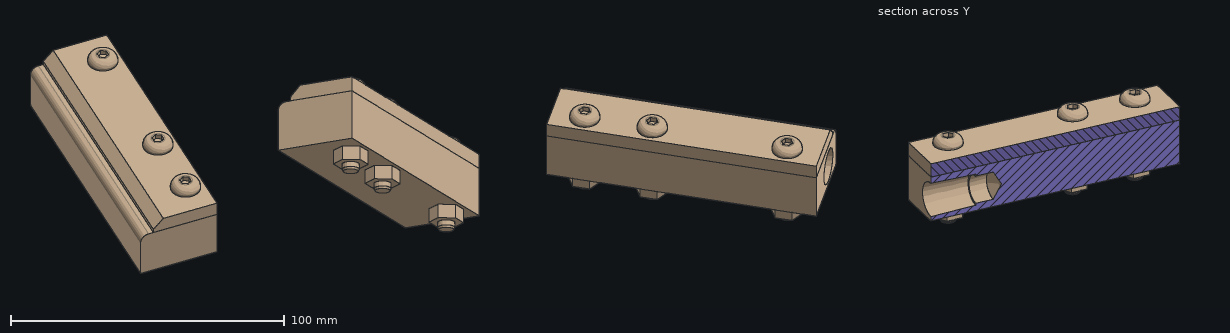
import cadquery as cq
import math

length = 101.6
depth = 30.5
block_height = 18.3
block_edge_radius = 3.1

cover_thickness = 5.5
cover_depth = 25.4
cover_chamfer = 4.0

port_y = 11.8
port_z = 8.7
port_mouth_diameter = 13.7
port_end_diameter = 12.7
port_taper_depth = 18.3
drill_diameter = 11.1
drill_depth = 25.4
drill_point_angle = 118.0

bolt_x_positions = (12.7, 63.5, 88.9)
bolt_to_back = 7.1
shank_diameter = 6.3
shank_protrusion = 7.9
shank_chamfer_height = 0.8
shank_chamfer_width = 0.4
head_diameter = 11.2
head_height = 3.4
head_rim_height = 0.6
head_flat_diameter = 5.1
head_bulge = 0.8
socket_width = 3.7
socket_depth = 1.8

nut_width = 11.1
nut_height = 5.2

cover_top = block_height + cover_thickness
bolt_y = depth - bolt_to_back


def hexagon_corner_diameter(width_across_flats):
    return width_across_flats / math.cos(math.pi / 6)


def make_bolt_holes():
    """Cylinders that match the bolt shanks, through the block and the cover."""
    return (
        cq.Workplane("XY")
        .pushPoints([(x, bolt_y) for x in bolt_x_positions])
        .circle(shank_diameter / 2)
        .extrude(cover_top)
    )


def make_port():
    """Tapered mouth, straight drilled bore and conical drill point, revolved about the port axis."""
    drill_radius = drill_diameter / 2
    point_depth = drill_depth + drill_radius / math.tan(math.radians(drill_point_angle / 2))
    return (
        cq.Workplane("XY")
        .moveTo(0, 0)
        .lineTo(0, port_mouth_diameter / 2)
        .lineTo(port_taper_depth, port_end_diameter / 2)
        .lineTo(port_taper_depth, drill_radius)
        .lineTo(drill_depth, drill_radius)
        .lineTo(point_depth, 0)
        .close()
        .revolve(360, (0, 0), (1, 0))
        .translate((0, port_y, port_z))
    )


def make_block():
    block = cq.Workplane("XY").box(length, depth, block_height, centered=False)
    block = block.edges("<Y and >Z").fillet(block_edge_radius)
    return block.cut(make_port()).cut(make_bolt_holes())


def make_cover():
    cover = (
        cq.Workplane("XY")
        .box(length, cover_depth, cover_thickness, centered=False)
        .edges("<Y and >Z")
        .chamfer(cover_chamfer)
        .translate((0, depth - cover_depth, block_height))
    )
    return cover.cut(make_bolt_holes())


def make_bolt(x):
    """Button head bolt with a hexagon socket, its shank passing through cover, block and nut."""
    shank_radius = shank_diameter / 2
    head_radius = head_diameter / 2
    flat_radius = head_flat_diameter / 2
    head_top = cover_top + head_height
    rim_top = cover_top + head_rim_height

    chord_r = head_radius - flat_radius
    chord_z = head_top - rim_top
    chord = math.hypot(chord_r, chord_z)
    dome_middle = (
        (head_radius + flat_radius) / 2 + head_bulge * chord_z / chord,
        (head_top + rim_top) / 2 + head_bulge * chord_r / chord,
    )

    bolt = (
        cq.Workplane("XZ")
        .moveTo(0, -shank_protrusion)
        .lineTo(shank_radius - shank_chamfer_width, -shank_protrusion)
        .lineTo(shank_radius, shank_chamfer_height - shank_protrusion)
        .lineTo(shank_radius, cover_top)
        .lineTo(head_radius, cover_top)
        .lineTo(head_radius, rim_top)
        .threePointArc(dome_middle, (flat_radius, head_top))
        .lineTo(0, head_top)
        .close()
        .revolve(360, (0, 0), (0, 1))
    )
    socket = (
        cq.Workplane("XY")
        .workplane(offset=head_top - socket_depth)
        .polygon(6, hexagon_corner_diameter(socket_width))
        .extrude(socket_depth)
    )
    return bolt.cut(socket).translate((x, bolt_y, 0))


def make_nut(x):
    """Hexagon nut against the underside of the block."""
    return (
        cq.Workplane("XY")
        .polygon(6, hexagon_corner_diameter(nut_width))
        .circle(shank_diameter / 2)
        .extrude(-nut_height)
        .translate((x, bolt_y, 0))
    )


block = make_block()
cover = make_cover()
bolts = [make_bolt(x).val() for x in bolt_x_positions]
nuts = [make_nut(x).val() for x in bolt_x_positions]

result = cq.Compound.makeCompound([block.val(), cover.val(), *bolts, *nuts])